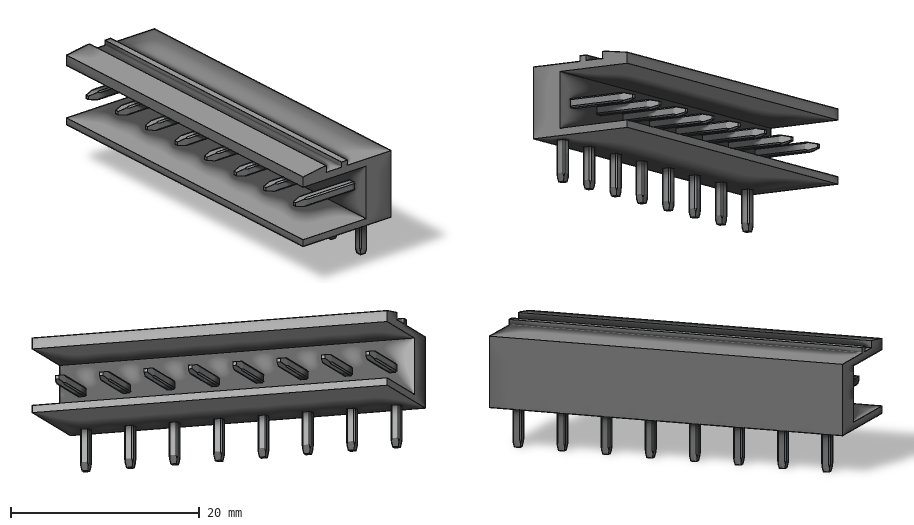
import cadquery as cq

pin_count = 8
pin_pitch = 5.0
housing_length = pin_count * pin_pitch
housing_depth = 12.0

roof_top = 7.75
roof_underside = 6.9
floor_thickness = 0.8
back_wall_thickness = 3.4
cavity_back = housing_depth - back_wall_thickness

rib_front = 5.25
rib_width = 0.8
rib_height = 0.6
rib_root_radius = 0.1

lip_depth = 3.15
lip_flat_width = 0.35
lip_top = 8.5
lip_front_height = 8.1

pin_width = 1.0
pin_corner = 0.15
contact_height = 3.85
contact_tip_y = 0.85
contact_taper = 1.3
contact_tip_width = 0.4
leg_setback = 2.1
leg_y = housing_depth - leg_setback
leg_length = 4.5
leg_taper = 0.9
leg_tip_width = 0.65


def make_housing_block():
    """C-shaped section with the roof rib and latch lip, extruded along the pin row."""
    section = [
        (0, 0),
        (housing_depth, 0),
        (housing_depth, roof_top),
        (rib_front + rib_width, roof_top),
        (rib_front + rib_width, roof_top + rib_height),
        (rib_front, roof_top + rib_height),
        (rib_front, roof_top),
        (lip_depth, roof_top),
        (lip_depth, lip_top),
        (lip_depth - lip_flat_width, lip_top),
        (0, lip_front_height),
        (0, roof_underside),
        (cavity_back, roof_underside),
        (cavity_back, floor_thickness),
        (0, floor_thickness),
    ]
    block = (
        cq.Workplane("YZ", origin=(-housing_length / 2, 0, 0))
        .polyline(section)
        .close()
        .extrude(housing_length)
    )
    for root_y in (rib_front, rib_front + rib_width):
        root_edge = cq.selectors.NearestToPointSelector((0, root_y, roof_top))
        block = block.edges(root_edge).fillet(rib_root_radius)
    return block


def octagon(width, corner):
    """Corner points of a square section with its four corners cut off."""
    half = width / 2
    flat = half - corner
    return [
        (half, -flat), (half, flat), (flat, half), (-flat, half),
        (-half, flat), (-half, -flat), (-flat, -half), (flat, -half),
    ]


def make_pointed_bar(plane, length, taper_length, tip_width):
    """Octagonal bar along the plane normal, with four flat faces tapering to a square tip."""
    straight_length = length - taper_length
    bar = cq.Workplane(plane).polyline(octagon(pin_width, pin_corner)).close().extrude(length)
    envelope = cq.Workplane(plane).rect(pin_width, pin_width).extrude(straight_length)
    taper = (
        cq.Workplane(plane)
        .workplane(offset=straight_length)
        .rect(pin_width, pin_width)
        .workplane(offset=taper_length)
        .rect(tip_width, tip_width)
        .loft(ruled=True)
    )
    return bar.intersect(envelope.union(taper))


def make_pin(x):
    """Right-angle pin: a contact toward the front and a solder leg downward."""
    overlap = pin_width / 2
    contact_plane = cq.Plane(
        origin=(x, leg_y + overlap, contact_height), xDir=(1, 0, 0), normal=(0, -1, 0)
    )
    leg_plane = cq.Plane(
        origin=(x, leg_y, contact_height + overlap), xDir=(1, 0, 0), normal=(0, 0, -1)
    )
    contact_length = leg_y + overlap - contact_tip_y
    leg_total = contact_height + overlap + leg_length
    contact = make_pointed_bar(contact_plane, contact_length, contact_taper, contact_tip_width)
    leg = make_pointed_bar(leg_plane, leg_total, leg_taper, leg_tip_width)
    return contact.union(leg)


first_pin_x = -(pin_count - 1) * pin_pitch / 2
housing = make_housing_block()
pins = []
for index in range(pin_count):
    pin = make_pin(first_pin_x + index * pin_pitch)
    housing = housing.cut(pin)
    pins.append(pin.val())

result = cq.Compound.makeCompound([housing.val(), *pins])